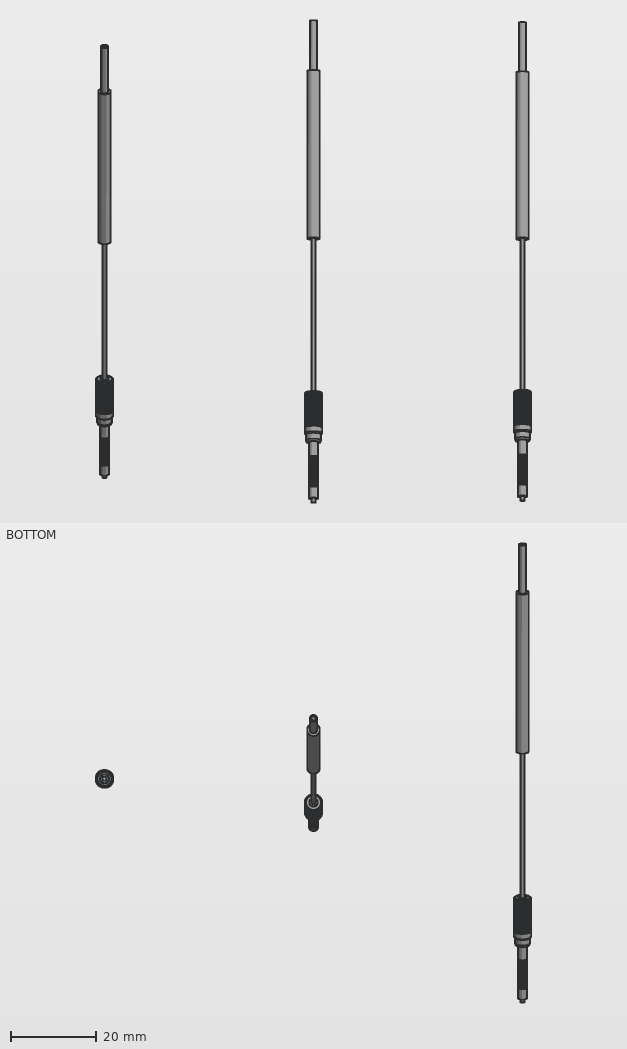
import cadquery as cq

total_height = 115.0
screw_bottom = 1.0
thread_bottom = 3.6
thread_top = 10.95
head_bottom = 14.4
head_taper_top = 14.9
collar_bottom = 16.6
knob_bottom = 17.9
knob_top = 26.3
sleeve_bottom = 63.0
sleeve_top = 103.0

wire_diameter = 1.0
rod_diameter = 1.7
sleeve_diameter = 3.0
screw_diameter = 2.2
stem_diameter = 2.0
head_bottom_diameter = 3.2
head_diameter = 3.6
knob_diameter = 4.2
collar_diameter = knob_diameter

collar_taper_height = 0.35

thread_turns = 25
thread_depth = 0.1

knurl_count = 24
knurl_depth = 0.17
knob_chamfer = 0.35


def tube(diameter, bore_diameter, bottom, top):
    """Upright tube on the Z axis."""
    return (
        cq.Workplane("XY")
        .workplane(offset=bottom)
        .circle(diameter / 2)
        .circle(bore_diameter / 2)
        .extrude(top - bottom)
    )


def make_wire():
    """Core wire that runs the whole length of the part."""
    return cq.Workplane("XY").circle(wire_diameter / 2).extrude(total_height)


def make_screw():
    """Bored screw: threaded shank, collared head and a stem that carries the knob."""
    bore_radius = wire_diameter / 2
    shank_radius = screw_diameter / 2
    stem_radius = stem_diameter / 2
    thread_pitch = (thread_top - thread_bottom) / thread_turns

    profile = (
        cq.Workplane("XZ")
        .moveTo(bore_radius, screw_bottom)
        .lineTo(shank_radius, screw_bottom)
        .lineTo(shank_radius, thread_bottom)
    )
    for turn in range(thread_turns):
        turn_bottom = thread_bottom + turn * thread_pitch
        profile = profile.lineTo(shank_radius - thread_depth, turn_bottom + thread_pitch / 2)
        profile = profile.lineTo(shank_radius, turn_bottom + thread_pitch)
    profile = (
        profile.lineTo(shank_radius, head_bottom)
        .lineTo(head_bottom_diameter / 2, head_bottom)
        .lineTo(head_diameter / 2, head_taper_top)
        .lineTo(head_diameter / 2, collar_bottom - collar_taper_height)
        .lineTo(collar_diameter / 2, collar_bottom)
        .lineTo(collar_diameter / 2, knob_bottom)
        .lineTo(stem_radius, knob_bottom)
        .lineTo(stem_radius, knob_top)
        .lineTo(bore_radius, knob_top)
        .close()
    )
    return profile.revolve(360, (0, 0, 0), (0, 1, 0))


def make_knob():
    """Grip bored for the stem, with straight V grooves all around."""
    knob_height = knob_top - knob_bottom
    grip = (
        cq.Workplane("XY")
        .workplane(offset=knob_bottom)
        .circle(knob_diameter / 2)
        .extrude(knob_height)
        .faces(">Z")
        .chamfer(knob_chamfer)
        .faces(">Z")
        .workplane()
        .hole(stem_diameter)
    )
    half_pitch_angle = 180 / knurl_count
    grooves = (
        cq.Workplane("XY")
        .workplane(offset=knob_bottom)
        .polarArray(knob_diameter / 2, half_pitch_angle, 360, knurl_count)
        .polygon(4, 2 * knurl_depth)
        .extrude(knob_height)
    )
    return grip.cut(grooves)


wire = make_wire()
screw = make_screw()
knob = make_knob()
sleeve = tube(sleeve_diameter, wire_diameter, sleeve_bottom, sleeve_top)
rod = tube(rod_diameter, wire_diameter, sleeve_top, total_height)

result = cq.Compound.makeCompound([wire.val(), screw.val(), knob.val(), sleeve.val(), rod.val()])